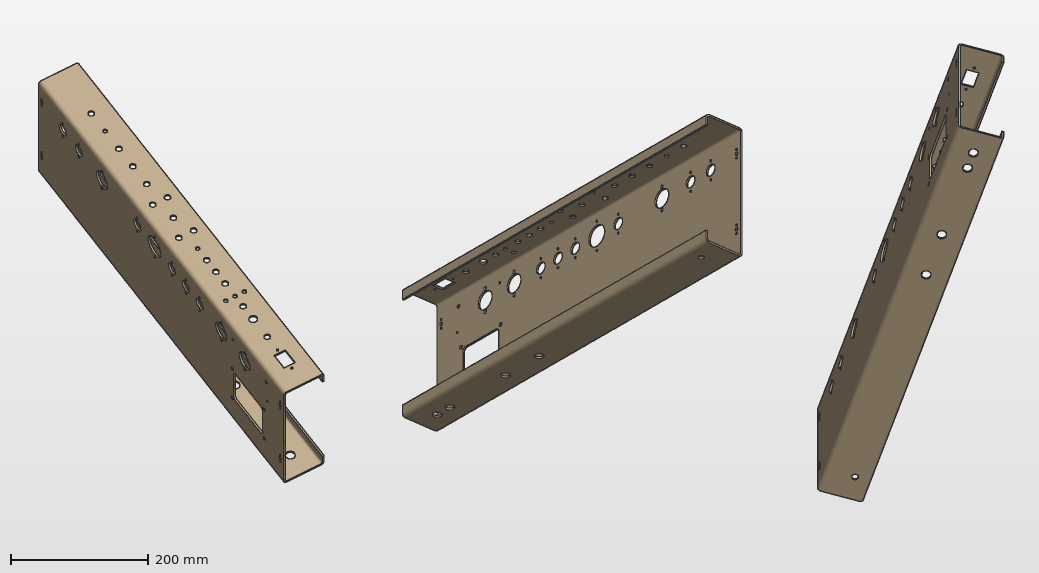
import cadquery as cq

LENGTH = 673.1
DEPTH = 69.85
HEIGHT = 215.9
SHEET = 3.175
BEND_RADIUS = 2 * SHEET
LIP_HEIGHT = 19.05

HALF_LENGTH = LENGTH / 2
HALF_HEIGHT = HEIGHT / 2
MID_DEPTH = DEPTH / 2
TOP_FLANGE_FLOOR = HALF_HEIGHT - SHEET
BOTTOM_FLANGE_FLOOR = -HALF_HEIGHT

SCREW_DIAMETER = 3.3

SOCKET_DROP = 41.4

SMALL_SOCKET_PLACES = [66.6, 111.05, 271.4, 366.65, 404.9, 442.9]
SMALL_SOCKET_DIAMETER = 19.05
SMALL_SOCKET_SCREW_OFFSET = 15.875

MEDIUM_SOCKET_PLACES = [174.6, 502.1, 566.2]
MEDIUM_SOCKET_DIAMETER = 30.2
MEDIUM_SOCKET_SLOT_OFFSET = 19.3
MEDIUM_SOCKET_SLOT_HEIGHT = 6.4
MEDIUM_SOCKET_SLOT_WIDTH = 4.2

LARGE_SOCKET_PLACE = 318.9
LARGE_SOCKET_DIAMETER = 34.92
LARGE_SOCKET_SCREW_OFFSET = 24.6

NUT_PLATE_INSET = 9.3
NUT_PLATE_DROPS = [38.7, 165.7]
NUT_PLATE_HOLE_DIAMETER = 5.33
RIVET_DIAMETER = 3.17
RIVET_OFFSET = 7.3

WINDOW_PLACE = 575.9
WINDOW_DROP = 132.0
WINDOW_WIDTH = 79.4
WINDOW_HEIGHT = 63.0
WINDOW_CORNER_RADIUS = 6.35
WINDOW_SCREW_PITCH_X = 87.7
WINDOW_SCREW_PITCH_Z = 69.7
WINDOW_SCREW_DIAMETER = 5.56

LOOSE_SCREWS = [(533.9, 26.3), (628.3, 68.7)]
GROMMET_PLACE = 625.3
GROMMET_DROP = 26.1
GROMMET_DIAMETER = 5.33

CONTROL_DIAMETER = 9.53
CONTROL_PLACES = [89.5, 165.5, 203.6, 242.0, 315.0, 406.6, 431.6, 457.0, 506.2, 572.4]
CONTROL_PAIR_PLACES = [278.5, 350.2]
CONTROL_PAIR_OFFSET = 12.7
LAMP_DIAMETER = 6.35
LAMP_PLACES = [127.5, 381.6]
LAMP_COLUMN_PLACE = 484.4
LAMP_COLUMN_OFFSETS = [-15.875, 0, 15.875]
JACK_PLACE = 533.9
JACK_DIAMETER = 12.7

SWITCH_PLACE = 620.4
SWITCH_LENGTH = 27.0
SWITCH_WIDTH = 18.9
SWITCH_SCREW_OFFSET = 19.8

BOTTOM_HOLE_DIAMETER = 14.3
BOTTOM_HOLE_PLACES = [410.0, LAMP_COLUMN_PLACE, 607.7, 635.8]
END_HOLE_DIAMETER = 9.53
END_HOLE_PLACE = 39.0
END_HOLE_OFFSET = 10.0


def x_block(depth, height):
    """Block along the whole length, front face on Y = 0."""
    return cq.Workplane("XY").box(LENGTH, depth, height, centered=(True, False, True))


def channel():
    """C-section with rounded bends and return lips."""
    outer = x_block(DEPTH, HEIGHT).edges("|X").fillet(BEND_RADIUS)
    inner = x_block(DEPTH - 2 * SHEET, HEIGHT - 2 * SHEET).edges("|X").fillet(BEND_RADIUS - SHEET)
    rear_opening = x_block(MID_DEPTH, HEIGHT - 2 * LIP_HEIGHT)
    return outer.cut(inner.translate((0, SHEET, 0))).cut(rear_opening.translate((0, MID_DEPTH, 0)))


def on_panel(points):
    """Workplane at the back of the front panel, with (place, drop) points; +Z faces forward."""
    centred = [(place - HALF_LENGTH, HALF_HEIGHT - drop) for place, drop in points]
    return cq.Workplane("XZ", origin=(0, SHEET, 0)).pushPoints(centred)


def on_flange(floor, points):
    """Workplane on the lower face of a flange, with (place, offset from mid depth) points."""
    centred = [(place - HALF_LENGTH, offset) for place, offset in points]
    return cq.Workplane("XY", origin=(0, MID_DEPTH, floor)).pushPoints(centred)


def drill(part, workplane, diameter):
    """Round holes through the sheet at every point of the workplane."""
    return part.cut(workplane.circle(diameter / 2).extrude(SHEET))


def above_and_below(places, offset):
    """Points above and below the sockets at the given places."""
    return [(place, SOCKET_DROP + side * offset) for place in places for side in (-1, 1)]


def cut_small_sockets(part):
    """Small sockets, each with a screw hole above and below."""
    centres = [(place, SOCKET_DROP) for place in SMALL_SOCKET_PLACES]
    part = drill(part, on_panel(centres), SMALL_SOCKET_DIAMETER)
    screws = above_and_below(SMALL_SOCKET_PLACES, SMALL_SOCKET_SCREW_OFFSET)
    return drill(part, on_panel(screws), SCREW_DIAMETER)


def cut_medium_sockets(part):
    """Medium sockets, each with an upright slot close above and below."""
    centres = [(place, SOCKET_DROP) for place in MEDIUM_SOCKET_PLACES]
    part = drill(part, on_panel(centres), MEDIUM_SOCKET_DIAMETER)
    slots = on_panel(above_and_below(MEDIUM_SOCKET_PLACES, MEDIUM_SOCKET_SLOT_OFFSET))
    return part.cut(slots.slot2D(MEDIUM_SOCKET_SLOT_HEIGHT, MEDIUM_SOCKET_SLOT_WIDTH, 90).extrude(SHEET))


def cut_large_socket(part):
    """Large socket with a screw hole above and below."""
    part = drill(part, on_panel([(LARGE_SOCKET_PLACE, SOCKET_DROP)]), LARGE_SOCKET_DIAMETER)
    screws = above_and_below([LARGE_SOCKET_PLACE], LARGE_SOCKET_SCREW_OFFSET)
    return drill(part, on_panel(screws), SCREW_DIAMETER)


def cut_nut_plates(part):
    """Nut plate holes, each between two rivet holes, at both ends of the front panel."""
    places = [NUT_PLATE_INSET, LENGTH - NUT_PLATE_INSET]
    centres = [(place, drop) for place in places for drop in NUT_PLATE_DROPS]
    rivets = [(place, drop + side * RIVET_OFFSET) for place, drop in centres for side in (-1, 1)]
    part = drill(part, on_panel(centres), NUT_PLATE_HOLE_DIAMETER)
    return drill(part, on_panel(rivets), RIVET_DIAMETER)


def cut_window(part):
    """Rounded transformer window with four corner screw holes."""
    centre = on_panel([(WINDOW_PLACE, WINDOW_DROP)])
    window = centre.rect(WINDOW_WIDTH, WINDOW_HEIGHT).extrude(SHEET)
    part = part.cut(window.edges("|Y").fillet(WINDOW_CORNER_RADIUS))
    screws = [
        (WINDOW_PLACE + x_side * WINDOW_SCREW_PITCH_X / 2, WINDOW_DROP + z_side * WINDOW_SCREW_PITCH_Z / 2)
        for x_side in (-1, 1)
        for z_side in (-1, 1)
    ]
    return drill(part, on_panel(screws), WINDOW_SCREW_DIAMETER)


def cut_loose_holes(part):
    """Single screw holes and the grommet hole around the window."""
    part = drill(part, on_panel(LOOSE_SCREWS), SCREW_DIAMETER)
    return drill(part, on_panel([(GROMMET_PLACE, GROMMET_DROP)]), GROMMET_DIAMETER)


def cut_controls(part):
    """Control, lamp and jack holes in the top flange."""
    controls = [(place, 0) for place in CONTROL_PLACES]
    controls += [(place, side * CONTROL_PAIR_OFFSET) for place in CONTROL_PAIR_PLACES for side in (-1, 1)]
    lamps = [(place, 0) for place in LAMP_PLACES]
    lamps += [(LAMP_COLUMN_PLACE, offset) for offset in LAMP_COLUMN_OFFSETS]
    part = drill(part, on_flange(TOP_FLANGE_FLOOR, controls), CONTROL_DIAMETER)
    part = drill(part, on_flange(TOP_FLANGE_FLOOR, lamps), LAMP_DIAMETER)
    return drill(part, on_flange(TOP_FLANGE_FLOOR, [(JACK_PLACE, 0)]), JACK_DIAMETER)


def cut_switch(part):
    """Rectangular switch cutout in the top flange, with a screw hole at each end."""
    centre = on_flange(TOP_FLANGE_FLOOR, [(SWITCH_PLACE, 0)])
    part = part.cut(centre.rect(SWITCH_LENGTH, SWITCH_WIDTH).extrude(SHEET))
    screws = [(SWITCH_PLACE + side * SWITCH_SCREW_OFFSET, 0) for side in (-1, 1)]
    return drill(part, on_flange(TOP_FLANGE_FLOOR, screws), SCREW_DIAMETER)


def cut_bottom_holes(part):
    """Row of holes and the single end hole in the bottom flange."""
    row = [(place, 0) for place in BOTTOM_HOLE_PLACES]
    part = drill(part, on_flange(BOTTOM_FLANGE_FLOOR, row), BOTTOM_HOLE_DIAMETER)
    return drill(part, on_flange(BOTTOM_FLANGE_FLOOR, [(END_HOLE_PLACE, END_HOLE_OFFSET)]), END_HOLE_DIAMETER)


result = channel()
result = cut_small_sockets(result)
result = cut_medium_sockets(result)
result = cut_large_socket(result)
result = cut_nut_plates(result)
result = cut_window(result)
result = cut_loose_holes(result)
result = cut_controls(result)
result = cut_switch(result)
result = cut_bottom_holes(result)